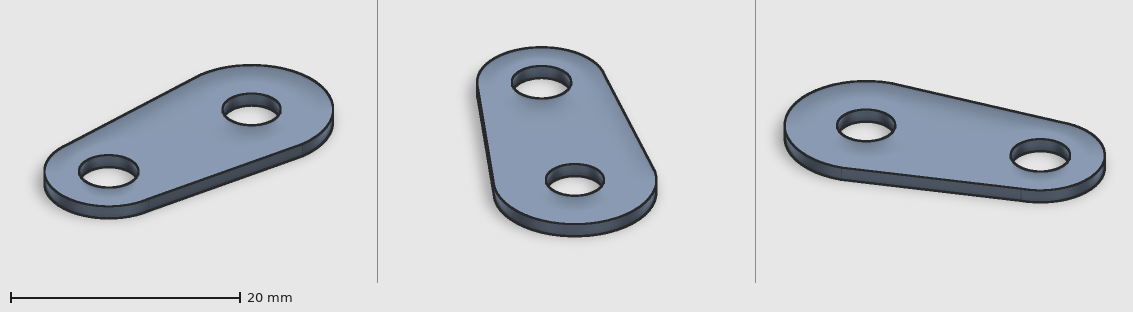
import cadquery as cq

thickness = 1.27
overall_length = 28.72
large_end_radius = 7.13
small_end_radius = 5.635
large_end_hole_diameter = 5.08
small_end_hole_diameter = 5.2
small_end_offset = 0.04

small_end_x = small_end_offset
small_end_y = -(overall_length - large_end_radius - small_end_radius)


def link_plate():
    """Flat plate with two semicircular ends joined by straight tapering sides."""
    return (
        cq.Workplane("XY")
        .moveTo(-large_end_radius, 0)
        .threePointArc((0, large_end_radius), (large_end_radius, 0))
        .lineTo(small_end_x + small_end_radius, small_end_y)
        .threePointArc(
            (small_end_x, small_end_y - small_end_radius),
            (small_end_x - small_end_radius, small_end_y),
        )
        .close()
        .extrude(thickness)
    )


def through_hole(center_x, center_y, diameter):
    """Cutter for a round hole through the full plate thickness."""
    return cq.Workplane("XY").center(center_x, center_y).circle(diameter / 2).extrude(thickness)


result = (
    link_plate()
    .cut(through_hole(0, 0, large_end_hole_diameter))
    .cut(through_hole(small_end_x, small_end_y, small_end_hole_diameter))
)